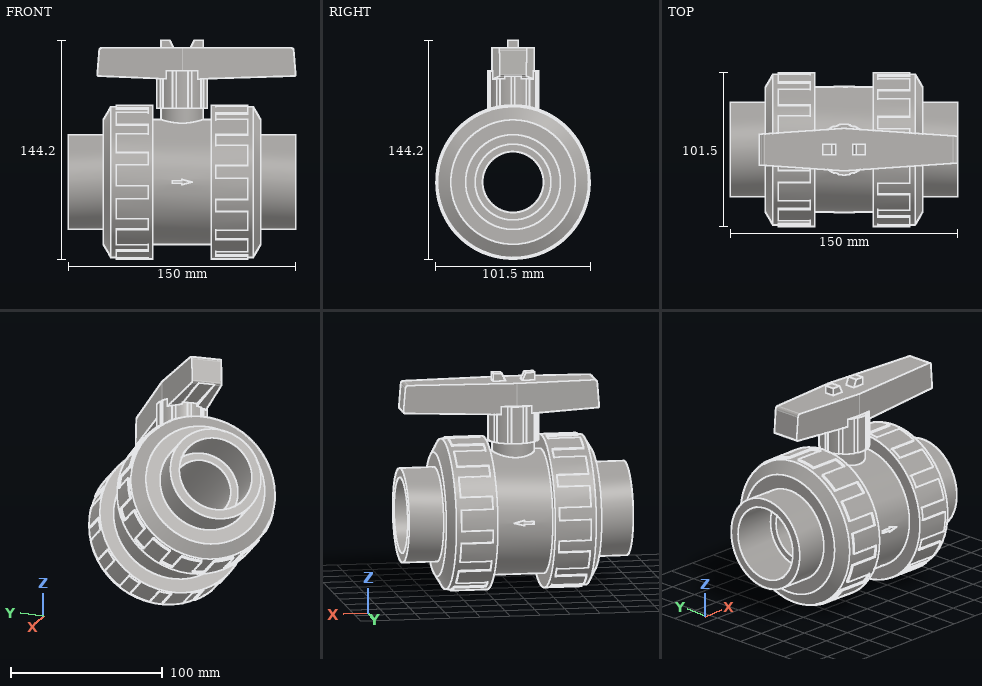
import cadquery as cq
import math


LENGTH = 150.0
PIPE_RADIUS = 31.25
SOCKET_RADIUS = 25.0
SOCKET_DEPTH = 31.0
BORE_RADIUS = 20.0
BODY_RADIUS = 41.25

NUT_RADIUS = 50.75
NUT_INNER_END = 19.2
NUT_OUTER_END = 52.0
NUT_CHAMFER_START = 46.8
NUT_FACE_RADIUS = 41.0
NOTCH_START = 22.2
NOTCH_END = 43.4
NOTCH_DEPTH = 1.0
NOTCH_FLOOR_RADIUS = NUT_RADIUS - NOTCH_DEPTH
NOTCH_COUNT = 14
NOTCH_ANGLE = 9.7
NOTCH_OFFSET_ANGLE = 7.75

ARROW_HALF_LENGTH = 6.6
ARROW_HEAD_START = -0.2
ARROW_TAIL_HALF_WIDTH = 0.85
ARROW_HEAD_HALF_WIDTH = 1.75
ARROW_HEIGHT = 0.4

STEM_RADIUS = 14.0
HUB_RADIUS = 16.8
HUB_BOTTOM = 48.6
HUB_TOP = 73.2
GROOVE_COUNT = 10
GROOVE_WIDTH = 2.55
GROOVE_DEPTH = 0.5

OVERALL_HEIGHT = 144.25
LUG_HEIGHT = 5.0
LUG_TOP = OVERALL_HEIGHT - NUT_RADIUS
HANDLE_TOP = LUG_TOP - LUG_HEIGHT
HANDLE_END_BOTTOM = 69.8
HANDLE_MID_BOTTOM = 67.5
HANDLE_LEFT = -56.0
HANDLE_RIGHT = LENGTH / 2
HANDLE_END_DRAFT = 1.5
HANDLE_MID_HALF_WIDTH = 14.0
HANDLE_SIDE_TAPER = 0.069
HANDLE_TOP_FILLET = 2.0
HANDLE_BOTTOM_FILLET = 1.2
CHANNEL_WIDTH = 10.8

LUG_WIDTH = 7.0
LUG_OUTER_X = 14.0
LUG_TOP_INNER_X = 8.0
LUG_BASE_INNER_X = 5.6


def x_cylinder(radius, start, end):
    return cq.Workplane("YZ").workplane(offset=start).circle(radius).extrude(end - start)


def make_nut():
    """Union nut on the +X end of the body."""
    core_profile = [
        (NUT_INNER_END, 0),
        (NUT_INNER_END, NOTCH_FLOOR_RADIUS),
        (NUT_CHAMFER_START, NOTCH_FLOOR_RADIUS),
        (NUT_OUTER_END, NUT_FACE_RADIUS),
        (NUT_OUTER_END, 0),
    ]
    core = cq.Workplane("XY").polyline(core_profile).close().revolve(360, (0, 0, 0), (1, 0, 0))

    band = x_cylinder(NUT_RADIUS, NUT_INNER_END, NOTCH_END)
    half_angle_slope = math.tan(math.radians(NOTCH_ANGLE / 2))
    wedge_inner = BODY_RADIUS
    wedge_outer = NUT_RADIUS + NOTCH_DEPTH
    wedge_profile = [
        (wedge_inner, -wedge_inner * half_angle_slope),
        (wedge_outer, -wedge_outer * half_angle_slope),
        (wedge_outer, wedge_outer * half_angle_slope),
        (wedge_inner, wedge_inner * half_angle_slope),
    ]
    wedge = (
        cq.Workplane("YZ")
        .workplane(offset=NOTCH_START)
        .polyline(wedge_profile)
        .close()
        .extrude(NOTCH_END - NOTCH_START)
    )
    pitch = 360 / NOTCH_COUNT
    for index in range(NOTCH_COUNT):
        angle = index * pitch - NOTCH_OFFSET_ANGLE
        band = band.cut(wedge.rotate((0, 0, 0), (1, 0, 0), angle))
    return core.union(band)


def make_arrows():
    """Flow arrows pointing to +X, standing proud of the body on -Y and +Y."""
    outline = [
        (-ARROW_HALF_LENGTH, -ARROW_TAIL_HALF_WIDTH),
        (ARROW_HEAD_START, -ARROW_TAIL_HALF_WIDTH),
        (ARROW_HEAD_START, -ARROW_HEAD_HALF_WIDTH),
        (ARROW_HALF_LENGTH, 0),
        (ARROW_HEAD_START, ARROW_HEAD_HALF_WIDTH),
        (ARROW_HEAD_START, ARROW_TAIL_HALF_WIDTH),
        (-ARROW_HALF_LENGTH, ARROW_TAIL_HALF_WIDTH),
    ]
    return cq.Workplane("XZ").polyline(outline).close().extrude(BODY_RADIUS + ARROW_HEIGHT, both=True)


def make_stem():
    stem = cq.Workplane("XY").circle(STEM_RADIUS).extrude(HUB_BOTTOM)
    hub = cq.Workplane("XY").workplane(offset=HUB_BOTTOM).circle(HUB_RADIUS).extrude(HUB_TOP - HUB_BOTTOM)
    grooves = (
        cq.Workplane("XY")
        .workplane(offset=HUB_BOTTOM)
        .polarArray(HUB_RADIUS, 0, 360, GROOVE_COUNT)
        .rect(2 * GROOVE_DEPTH, GROOVE_WIDTH)
        .extrude(HUB_TOP - HUB_BOTTOM)
    )
    return stem.union(hub.cut(grooves))


def make_handle():
    """Bar tapering towards both ends in plan, with drafted and rounded ends."""
    side_profile = [
        (HANDLE_LEFT, HANDLE_END_BOTTOM),
        (0, HANDLE_MID_BOTTOM),
        (HANDLE_RIGHT, HANDLE_END_BOTTOM),
        (HANDLE_RIGHT - HANDLE_END_DRAFT, HANDLE_TOP),
        (HANDLE_LEFT + HANDLE_END_DRAFT, HANDLE_TOP),
    ]
    bar = cq.Workplane("XZ").polyline(side_profile).close().extrude(HANDLE_MID_HALF_WIDTH, both=True)
    bar = bar.edges("|Y").edges(">Z").fillet(HANDLE_TOP_FILLET)
    bar = bar.edges("|Y").edges("<X or >X").fillet(HANDLE_BOTTOM_FILLET)

    left_half_width = HANDLE_MID_HALF_WIDTH + HANDLE_SIDE_TAPER * HANDLE_LEFT
    right_half_width = HANDLE_MID_HALF_WIDTH - HANDLE_SIDE_TAPER * HANDLE_RIGHT
    plan = [
        (HANDLE_LEFT, -left_half_width),
        (0, -HANDLE_MID_HALF_WIDTH),
        (HANDLE_RIGHT, -right_half_width),
        (HANDLE_RIGHT, right_half_width),
        (0, HANDLE_MID_HALF_WIDTH),
        (HANDLE_LEFT, left_half_width),
    ]
    bar = bar.intersect(cq.Workplane("XY").polyline(plan).close().extrude(HANDLE_TOP))

    channel = cq.Workplane("XY").rect(2 * LENGTH, CHANNEL_WIDTH).extrude(HANDLE_END_BOTTOM)
    return bar.cut(channel)


def make_lug():
    """Pointer lug whose inner face slopes towards the stem axis."""
    profile = [
        (LUG_OUTER_X, HANDLE_TOP),
        (LUG_OUTER_X, LUG_TOP),
        (LUG_TOP_INNER_X, LUG_TOP),
        (LUG_BASE_INNER_X, HANDLE_TOP),
    ]
    return cq.Workplane("XZ").polyline(profile).close().extrude(LUG_WIDTH / 2, both=True)


def make_valve():
    half_length = LENGTH / 2
    valve = x_cylinder(PIPE_RADIUS, -half_length, half_length)
    valve = valve.union(x_cylinder(BODY_RADIUS, -NUT_INNER_END, NUT_INNER_END))
    valve = valve.union(make_arrows()).union(make_stem()).union(make_handle())

    nut = make_nut()
    lug = make_lug()
    for turn in (0, 180):
        valve = valve.union(nut.rotate((0, 0, 0), (0, 0, 1), turn))
        valve = valve.union(lug.rotate((0, 0, 0), (0, 0, 1), turn))

    valve = valve.cut(x_cylinder(BORE_RADIUS, -half_length, half_length))
    valve = valve.cut(x_cylinder(SOCKET_RADIUS, -half_length, SOCKET_DEPTH - half_length))
    return valve.cut(x_cylinder(SOCKET_RADIUS, half_length - SOCKET_DEPTH, half_length))


result = make_valve()